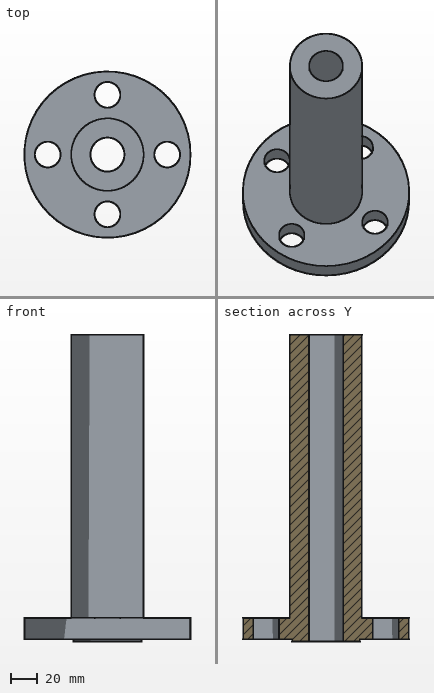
import cadquery as cq

total_height = 228.5
flange_diameter = 124.0

face_diameter = 50.7
face_height = 1.5

flange_top = 17.5
bolt_circle_diameter = 89.0
bolt_hole_diameter = 19.0
bolt_hole_count = 4

neck_diameter = 54.0
bore_diameter = 25.1


def cylinder(diameter, bottom, top):
    """Upright cylinder on the Z axis between two heights."""
    return cq.Workplane("XY").workplane(offset=bottom).circle(diameter / 2).extrude(top - bottom)


def bolt_holes():
    """Ring of cutters for the flange bolt holes, the first one on +X."""
    return (
        cq.Workplane("XY")
        .polarArray(bolt_circle_diameter / 2, 0, 360, bolt_hole_count)
        .circle(bolt_hole_diameter / 2)
        .extrude(flange_top)
    )


raised_face = cylinder(face_diameter, 0, face_height)
flange = cylinder(flange_diameter, face_height, flange_top)
neck = cylinder(neck_diameter, flange_top, total_height)
bore = cylinder(bore_diameter, 0, total_height)

result = raised_face.union(flange).union(neck).cut(bore).cut(bolt_holes())